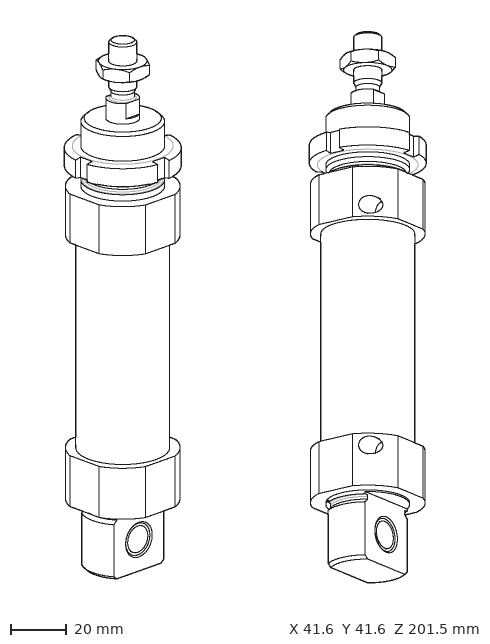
import cadquery as cq
import math

UNDERCUT_FILLET = 0.6
PICK_MARGIN = 0.02

TOTAL_LENGTH = 201.5
REAR_CAP_BOTTOM = 25.5
REAR_CAP_TOP = 45.1
FRONT_CAP_BOTTOM = 126.7
FRONT_CAP_TOP = 145.5
NOSE_TOP = 171.5

TUBE_DIAMETER = 33.7
CAP_DIAMETER = 41.1
CAP_ACROSS_FLATS = 38.3
THREAD_DIAMETER = 30.0
THREAD_CHAMFER_DIAMETER = 27.6
THREAD_CHAMFER = (THREAD_DIAMETER - THREAD_CHAMFER_DIAMETER) / 2
UNDERCUT_DIAMETER = 27.6
UNDERCUT_STRAIGHT = 1.6
UNDERCUT_TAPER = 1.5
FRONT_UNDERCUT_BOTTOM = 148.0
REAR_UNDERCUT_TOP = 24.2

EYE_THICKNESS = 16.5
TONGUE_TOP = 25.0
EYE_HEIGHT = 12.0
EYE_DIAMETER = 10.0
EYE_RECESS_DIAMETER = 12.0
EYE_RECESS_DEPTH = 0.6
EYE_RIM_DIAMETER = 13.3

PORT_DIAMETER = 6.6
PORT_FLOOR_Y = 8.0
PORT_OFFSET = 4.5
PORT_X = -12.9

ROD_DIAMETER = 12.0
ROD_SHOULDER = 179.3
ROD_FLATS = 10.0
ROD_FLATS_BOTTOM = 173.5
ROD_THREAD_DIAMETER = 10.0
ROD_THREAD_BOTTOM = 183.5
ROD_NECK_DIAMETER = 8.5
ROD_TIP_CHAMFER = (ROD_THREAD_DIAMETER - ROD_NECK_DIAMETER) / 2
ROD_TAPER = 1.6

ROD_NUT_BOTTOM = 188.5
ROD_NUT_THICKNESS = 5.0
ROD_NUT_ACROSS_FLATS = 17.3
ROD_NUT_BEVEL_ANGLE = math.radians(30)
HEXAGON_SIDES = 6

MOUNT_NUT_BOTTOM = 152.7
MOUNT_NUT_THICKNESS = 8.0
MOUNT_NUT_DIAMETER = 42.0
MOUNT_NUT_FACE_DIAMETER = 36.0
MOUNT_NUT_BEVEL = 0.6
SLOT_WIDTH = 5.8
SLOT_FLOOR_DISTANCE = 18.3
SLOT_COUNT = 4


def disc(diameter, bottom, top):
    """Upright cylinder between two heights."""
    return cq.Workplane("XY").workplane(offset=bottom).circle(diameter / 2).extrude(top - bottom)


def block(x_size, y_size, bottom, top):
    """Upright rectangular block about the main axis."""
    return cq.Workplane("XY").workplane(offset=bottom).rect(x_size, y_size).extrude(top - bottom)


def turned(profile):
    """Solid turned about the main axis from (diameter, height) pairs, listed upwards."""
    points = [(diameter / 2, height) for diameter, height in profile]
    outline = [(0, points[0][1])] + points + [(0, points[-1][1])]
    return cq.Workplane("XZ").polyline(outline).close().revolve(360, (0, 0, 0), (0, 1, 0))


def fillet_undercut(body, diameter, height):
    """Round the inner corner where an undercut of this diameter meets its shoulder."""
    reach = diameter / 2 + PICK_MARGIN
    low = (-reach, -reach, height - PICK_MARGIN)
    high = (reach, reach, height + PICK_MARGIN)
    return body.edges(cq.selectors.BoxSelector(low, high, boundingbox=True)).fillet(UNDERCUT_FILLET)


def port(height):
    """Cutter for a blind port in the round part of a cap, parallel to Y."""
    return (
        cq.Workplane("XZ", origin=(PORT_X, PORT_FLOOR_Y, height))
        .circle(PORT_DIAMETER / 2)
        .extrude(-CAP_DIAMETER / 2)
    )


def make_cap(bottom, top, port_height):
    """Round cap with four flats and an air port."""
    flats = block(CAP_ACROSS_FLATS, CAP_ACROSS_FLATS, bottom, top)
    return disc(CAP_DIAMETER, bottom, top).intersect(flats).cut(port(port_height))


def make_nose():
    """Threaded nose with a chamfered end and an undercut above the front cap."""
    undercut_top = FRONT_UNDERCUT_BOTTOM + UNDERCUT_STRAIGHT
    nose = turned([
        (THREAD_DIAMETER, FRONT_CAP_TOP),
        (THREAD_DIAMETER, FRONT_UNDERCUT_BOTTOM),
        (UNDERCUT_DIAMETER, FRONT_UNDERCUT_BOTTOM),
        (UNDERCUT_DIAMETER, undercut_top),
        (THREAD_DIAMETER, undercut_top + UNDERCUT_TAPER),
        (THREAD_DIAMETER, NOSE_TOP - THREAD_CHAMFER),
        (THREAD_CHAMFER_DIAMETER, NOSE_TOP),
    ])
    return fillet_undercut(nose, UNDERCUT_DIAMETER, FRONT_UNDERCUT_BOTTOM)


def make_eye_hole():
    """Cutter for the cross hole, with a shallow tapered recess at each end."""
    face = EYE_THICKNESS / 2
    floor = face - EYE_RECESS_DEPTH
    hole = turned([
        (EYE_RIM_DIAMETER, -face),
        (EYE_RECESS_DIAMETER, -floor),
        (EYE_DIAMETER, -floor),
        (EYE_DIAMETER, floor),
        (EYE_RECESS_DIAMETER, floor),
        (EYE_RIM_DIAMETER, face),
    ])
    return hole.rotate((0, 0, 0), (0, 1, 0), 90).translate((0, 0, EYE_HEIGHT))


def make_eye():
    """Flattened threaded stub below the rear cap with a chamfered cross hole."""
    undercut_bottom = REAR_UNDERCUT_TOP - UNDERCUT_STRAIGHT
    stub = turned([
        (THREAD_CHAMFER_DIAMETER, 0),
        (THREAD_DIAMETER, THREAD_CHAMFER),
        (THREAD_DIAMETER, undercut_bottom - UNDERCUT_TAPER),
        (UNDERCUT_DIAMETER, undercut_bottom),
        (UNDERCUT_DIAMETER, REAR_UNDERCUT_TOP),
        (THREAD_DIAMETER, REAR_UNDERCUT_TOP),
        (THREAD_DIAMETER, REAR_CAP_BOTTOM),
    ])
    stub = fillet_undercut(stub, UNDERCUT_DIAMETER, REAR_UNDERCUT_TOP)
    tongue = block(EYE_THICKNESS, THREAD_DIAMETER, 0, TONGUE_TOP)
    shoulder = block(THREAD_DIAMETER, THREAD_DIAMETER, TONGUE_TOP, REAR_CAP_BOTTOM)
    stub = stub.intersect(tongue.union(shoulder))
    return stub.cut(make_eye_hole())


def make_housing():
    """Tube with both caps, the nose and the eye as one solid."""
    tube = disc(TUBE_DIAMETER, REAR_CAP_TOP, FRONT_CAP_BOTTOM)
    rear_cap = make_cap(REAR_CAP_BOTTOM, REAR_CAP_TOP, REAR_CAP_TOP - PORT_OFFSET)
    front_cap = make_cap(FRONT_CAP_BOTTOM, FRONT_CAP_TOP, FRONT_CAP_BOTTOM + PORT_OFFSET)
    return tube.union(rear_cap).union(front_cap).union(make_nose()).union(make_eye())


def make_rod():
    """Piston rod standing on the nose, with spanner flats, a neck and a threaded end."""
    rod = turned([
        (ROD_DIAMETER, NOSE_TOP),
        (ROD_DIAMETER, ROD_SHOULDER),
        (ROD_NECK_DIAMETER, ROD_SHOULDER),
        (ROD_NECK_DIAMETER, ROD_THREAD_BOTTOM - ROD_TAPER),
        (ROD_THREAD_DIAMETER, ROD_THREAD_BOTTOM),
        (ROD_THREAD_DIAMETER, TOTAL_LENGTH - ROD_TIP_CHAMFER),
        (ROD_NECK_DIAMETER, TOTAL_LENGTH),
    ])
    rod = fillet_undercut(rod, ROD_NECK_DIAMETER, ROD_SHOULDER)
    between_flats = block(ROD_FLATS, ROD_DIAMETER, ROD_FLATS_BOTTOM, TOTAL_LENGTH)
    below_flats = block(ROD_DIAMETER, ROD_DIAMETER, NOSE_TOP, ROD_FLATS_BOTTOM)
    return rod.intersect(between_flats.union(below_flats))


def make_rod_nut():
    """Hexagon nut with corners bevelled at both faces."""
    top = ROD_NUT_BOTTOM + ROD_NUT_THICKNESS
    across_corners = ROD_NUT_ACROSS_FLATS / math.cos(math.pi / HEXAGON_SIDES)
    bevel = (across_corners - ROD_NUT_ACROSS_FLATS) / 2 * math.tan(ROD_NUT_BEVEL_ANGLE)
    hexagon = (
        cq.Workplane("XY")
        .workplane(offset=ROD_NUT_BOTTOM)
        .polygon(HEXAGON_SIDES, across_corners)
        .extrude(ROD_NUT_THICKNESS)
        .rotate((0, 0, 0), (0, 0, 1), 180 / HEXAGON_SIDES)
    )
    bevelled = turned([
        (ROD_NUT_ACROSS_FLATS, ROD_NUT_BOTTOM),
        (across_corners, ROD_NUT_BOTTOM + bevel),
        (across_corners, top - bevel),
        (ROD_NUT_ACROSS_FLATS, top),
    ])
    return hexagon.intersect(bevelled).cut(disc(ROD_THREAD_DIAMETER, ROD_NUT_BOTTOM, top))


def make_mount_nut():
    """Round nut with bevelled faces and evenly spaced slots in its rim."""
    top = MOUNT_NUT_BOTTOM + MOUNT_NUT_THICKNESS
    nut = turned([
        (MOUNT_NUT_FACE_DIAMETER, MOUNT_NUT_BOTTOM),
        (MOUNT_NUT_DIAMETER, MOUNT_NUT_BOTTOM + MOUNT_NUT_BEVEL),
        (MOUNT_NUT_DIAMETER, top - MOUNT_NUT_BEVEL),
        (MOUNT_NUT_FACE_DIAMETER, top),
    ]).cut(disc(THREAD_DIAMETER, MOUNT_NUT_BOTTOM, top))
    slot_length = MOUNT_NUT_DIAMETER / 2
    slot = block(slot_length, SLOT_WIDTH, MOUNT_NUT_BOTTOM, top)
    slot = slot.translate((SLOT_FLOOR_DISTANCE + slot_length / 2, 0, 0))
    for index in range(SLOT_COUNT):
        nut = nut.cut(slot.rotate((0, 0, 0), (0, 0, 1), index * 360 / SLOT_COUNT))
    return nut


housing = make_housing()
rod = make_rod()
rod_nut = make_rod_nut()
mount_nut = make_mount_nut()

result = cq.Compound.makeCompound([
    housing.val(),
    rod.val(),
    rod_nut.val(),
    mount_nut.val(),
])